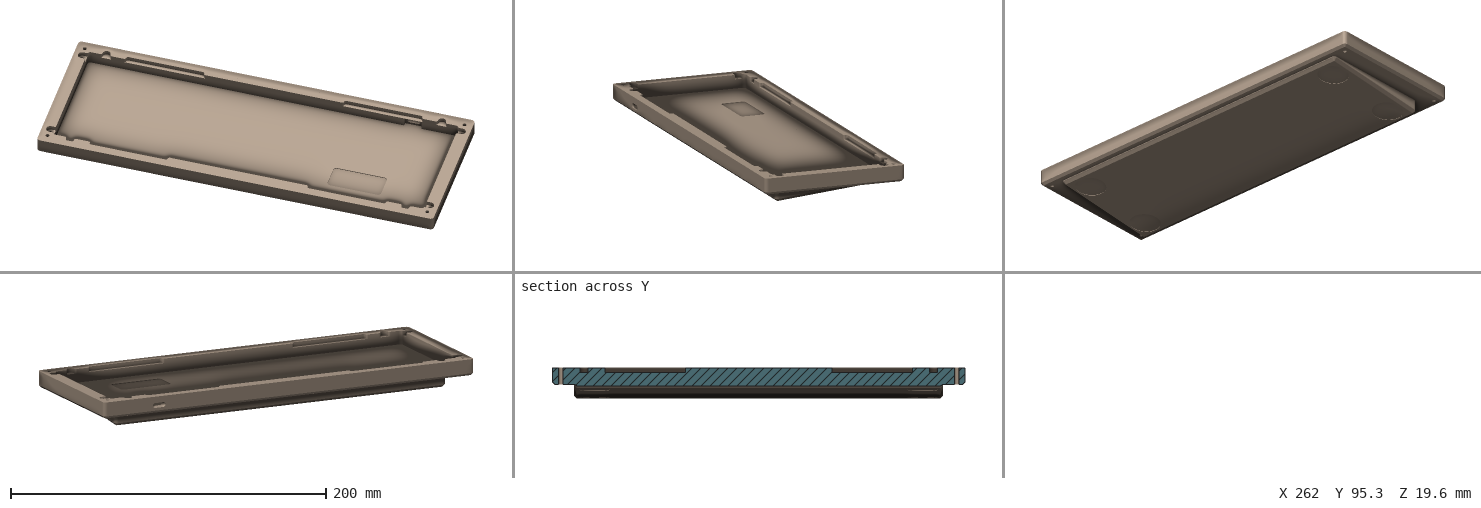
import cadquery as cq
import math

length = 262.0
width = 95.3
total_height = 19.6
tray_height = 10.7
corner_radius = 2.4
tray_chamfer = 1.5

cavity_length = 245.0
cavity_width = 79.5
cavity_corner_radius = 2.0
floor_thickness = 1.8
wall_inside_y = cavity_width / 2

ledge_depth = 3.0
ledge_z = tray_height - ledge_depth

corner_hole_x = 125.5
seat_y = 35.5
seat_diameter = 5.2
screw_hole_diameter = 2.07
screw_hole_depth = 4.0
pin_y = 42.0
pin_hole_diameter = 2.5

tab_x = 110.8
tab_radius = 2.5
tab_flare_radius = 1.3
tab_reach = tab_flare_radius + tab_radius
tab_half_mouth = tab_radius + tab_flare_radius

notch_inner_x = 45.0
notch_outer_x = 99.0
notch_reach = 2.4

label_length = 35.4
label_width = 16.5
label_x = 72.3
label_y = -18.3
label_corner_radius = 2.0
label_depth = 0.5

port_x = 92.0
port_recess_width = 11.5
port_recess_reach = 2.23
port_recess_height = 5.8
port_width = 9.0
port_height = 3.1
port_above_floor = 3.1

foot_length = 234.0
foot_front_y = -42.5
foot_back_y = 35.0
foot_slope = math.radians(5.0)
foot_chamfer = 1.8
foot_lowest_y = foot_back_y - foot_chamfer

bumper_diameter = 20.0
bumper_depth = 0.3
bumper_margin = 1.3
bumper_inset = foot_chamfer + bumper_margin + bumper_diameter / 2

SIGNS = (-1, 1)


def foot_bottom_z(y):
    """Height of the sloped underside at a given y."""
    return tray_height - total_height + (foot_lowest_y - y) * math.tan(foot_slope)


def in_four_corners(cutter):
    """Mirror a cutter from the +X +Y quarter into all four quarters."""
    right_pair = cutter.union(cutter.mirror("XZ"))
    return right_pair.union(right_pair.mirror("YZ"))


def tray_body():
    return (
        cq.Workplane("XY")
        .box(length, width, tray_height, centered=(True, True, False))
        .edges("|Z")
        .fillet(corner_radius)
        .faces("<Z")
        .edges()
        .chamfer(tray_chamfer)
    )


def foot():
    overlap = floor_thickness / 2
    return (
        cq.Workplane("YZ")
        .moveTo(foot_front_y, overlap)
        .lineTo(foot_back_y, overlap)
        .lineTo(foot_back_y, foot_bottom_z(foot_back_y))
        .lineTo(foot_front_y, foot_bottom_z(foot_front_y))
        .close()
        .extrude(foot_length / 2, both=True)
        .edges("|Z")
        .fillet(corner_radius)
        .faces("<Z")
        .edges()
        .chamfer(foot_chamfer)
    )


def cavity():
    return (
        cq.Workplane("XY", origin=(0, 0, floor_thickness))
        .box(cavity_length, cavity_width, tray_height, centered=(True, True, False))
        .edges("|Z")
        .fillet(cavity_corner_radius)
    )


def screw_seat():
    """Round pocket opening sideways into the cavity, with a blind screw hole."""
    opening = corner_hole_x - cavity_length / 2 + cavity_corner_radius
    ledge = cq.Workplane("XY", origin=(corner_hole_x, seat_y, ledge_z))
    round_pocket = ledge.circle(seat_diameter / 2).extrude(ledge_depth)
    mouth = ledge.center(-opening / 2, 0).rect(opening, seat_diameter).extrude(ledge_depth)
    screw_hole = ledge.circle(screw_hole_diameter / 2).extrude(-screw_hole_depth)
    return round_pocket.union(mouth).union(screw_hole)


def pin_hole():
    return (
        cq.Workplane("XY", origin=(corner_hole_x, pin_y, 0))
        .circle(pin_hole_diameter / 2)
        .extrude(tray_height)
    )


def tab_slot():
    """Round-ended slot whose mouth flares smoothly into the cavity wall."""
    return (
        cq.Workplane("XY", origin=(tab_x, wall_inside_y, ledge_z))
        .moveTo(-tab_half_mouth, 0)
        .radiusArc((-tab_radius, tab_flare_radius), -tab_flare_radius)
        .threePointArc((0, tab_reach), (tab_radius, tab_flare_radius))
        .radiusArc((tab_half_mouth, 0), -tab_flare_radius)
        .close()
        .extrude(ledge_depth)
    )


def long_notch():
    """Shallow notch with S-curved ends made of two equal quarter arcs."""
    radius = notch_reach / 2
    return (
        cq.Workplane("XY", origin=(0, wall_inside_y, ledge_z))
        .moveTo(notch_inner_x, 0)
        .radiusArc((notch_inner_x + radius, radius), -radius)
        .radiusArc((notch_inner_x + notch_reach, notch_reach), radius)
        .lineTo(notch_outer_x - notch_reach, notch_reach)
        .radiusArc((notch_outer_x - radius, radius), radius)
        .radiusArc((notch_outer_x, 0), -radius)
        .close()
        .extrude(ledge_depth)
    )


def label_pocket():
    return (
        cq.Workplane("XY", origin=(label_x, label_y, floor_thickness))
        .rect(label_length, label_width)
        .extrude(-label_depth)
        .edges("|Z")
        .fillet(label_corner_radius)
    )


def cable_port():
    """Recess in the inside of the back wall, then a rounded opening through it."""
    recess = cq.Workplane("XY", origin=(port_x, wall_inside_y, floor_thickness)).box(
        port_recess_width, 2 * port_recess_reach, port_recess_height, centered=(True, True, False)
    )
    opening = (
        cq.Workplane("XZ", origin=(port_x, wall_inside_y, floor_thickness + port_above_floor))
        .slot2D(port_width, port_height)
        .extrude(wall_inside_y - width / 2)
    )
    return recess.union(opening)


def bumper_recesses():
    """Shallow discs sunk square to the sloped underside."""
    x = foot_length / 2 - bumper_inset
    normal = cq.Vector(0, -math.sin(foot_slope), -math.cos(foot_slope))
    recesses = cq.Workplane("XY")
    for side in SIGNS:
        for y in (foot_front_y + bumper_inset, foot_back_y - bumper_inset):
            center = cq.Vector(side * x, y, foot_bottom_z(y))
            disc = cq.Solid.makeCylinder(bumper_diameter / 2, bumper_depth, center, -normal)
            recesses = recesses.add(disc)
    return recesses.combine()


result = tray_body().union(foot()).cut(cavity())
for corner_feature in (screw_seat(), pin_hole(), tab_slot(), long_notch()):
    result = result.cut(in_four_corners(corner_feature))
result = result.cut(label_pocket()).cut(cable_port()).cut(bumper_recesses())